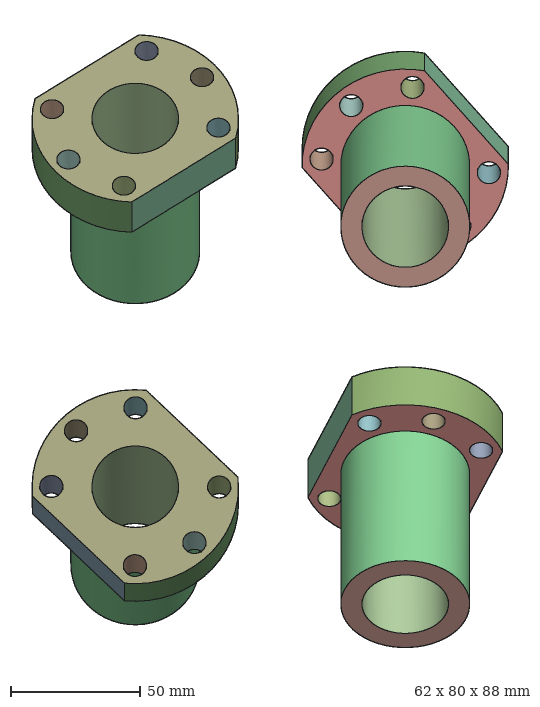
import cadquery as cq

total_length = 88.0
flange_thickness = 20.0
flange_diameter = 80.0
flange_width = 62.0
body_diameter = 50.0
bore_diameter = 33.5

hole_diameter = 9.0
hole_circle_diameter = 65.0
hole_spacing = 45
holes_per_group = 3
group_directions = (90, 270)

body_length = total_length - flange_thickness


def make_flange():
    """Round flange above the body, trimmed by two flats facing -X and +X."""
    flange_plane = cq.Workplane("XY").workplane(offset=body_length)
    disc = flange_plane.circle(flange_diameter / 2).extrude(flange_thickness)
    trim = cq.Workplane("XY").box(flange_width, flange_diameter, total_length, centered=(True, True, False))
    return disc.intersect(trim)


def make_mounting_holes():
    """Cutters for the through holes, grouped on the two rounded sides."""
    holes = cq.Workplane("XY").workplane(offset=body_length)
    group_span = (holes_per_group - 1) * hole_spacing
    cutters = cq.Workplane("XY")
    for direction in group_directions:
        first_angle = direction - group_span / 2
        group = holes.polarArray(
            hole_circle_diameter / 2, first_angle, hole_spacing, holes_per_group, fill=False
        )
        cutters = cutters.add(group.circle(hole_diameter / 2).extrude(flange_thickness))
    return cutters.combine()


body = cq.Workplane("XY").circle(body_diameter / 2).extrude(body_length)
bore = cq.Workplane("XY").circle(bore_diameter / 2).extrude(total_length)

result = body.union(make_flange()).cut(bore).cut(make_mounting_holes())